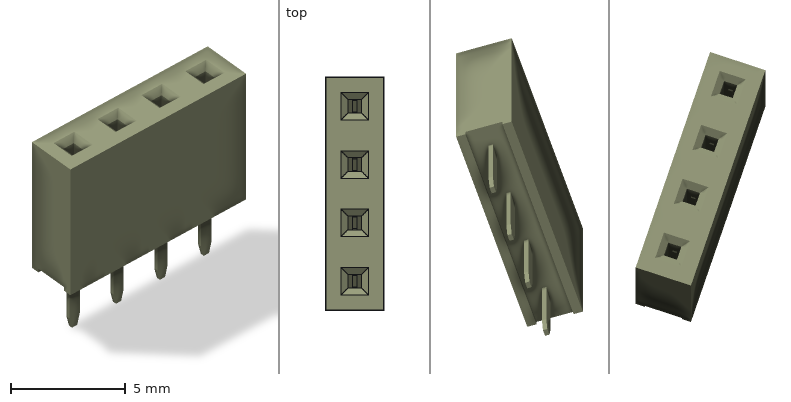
import cadquery as cq

pitch = 2.54
contact_count = 4
housing_width = pitch
housing_length = contact_count * pitch
housing_height = 7.0

channel_width = 1.7
channel_depth = 0.2

funnel_mouth = 1.2
well_width = 0.6
funnel_depth = 0.3
well_depth = 3.5

pin_thickness = 0.2
pin_width = 0.6
pin_length = 3.1
taper_length = 0.6
pin_tip_width = 0.3

fork_gap = 0.5
fork_base_height = 0.5
fork_height = 2.0
tine_width = (well_width - fork_gap) / 2

contact_positions = [(i - (contact_count - 1) / 2) * pitch for i in range(contact_count)]


def make_housing():
    """Rectangular housing, underside at Z = 0, with the channel open at both ends."""
    block = cq.Workplane("XY").box(
        housing_width, housing_length, housing_height, centered=(True, True, False)
    )
    channel = cq.Workplane("XY").box(
        channel_width, housing_length, channel_depth, centered=(True, True, False)
    )
    return block.cut(channel)


def make_socket(y):
    """Cutter for one socket: tapered funnel at the top and straight well below."""
    funnel = (
        cq.Workplane("XY", origin=(0, y, housing_height))
        .rect(funnel_mouth, funnel_mouth)
        .workplane(offset=-funnel_depth)
        .rect(well_width, well_width)
        .loft(ruled=True)
    )
    well = cq.Workplane("XY", origin=(0, y, housing_height - well_depth)).box(
        well_width, well_width, well_depth, centered=(True, True, False)
    )
    return funnel.union(well)


def make_pin(y):
    """Flat pin hanging from the channel, narrowing to a blunt tip."""
    half_width = pin_width / 2
    half_tip = pin_tip_width / 2
    taper_start = taper_length - pin_length
    return (
        cq.Workplane("YZ", origin=(-pin_thickness / 2, y, 0))
        .moveTo(-half_width, channel_depth)
        .lineTo(-half_width, taper_start)
        .lineTo(-half_tip, -pin_length)
        .lineTo(half_tip, -pin_length)
        .lineTo(half_width, taper_start)
        .lineTo(half_width, channel_depth)
        .close()
        .extrude(pin_thickness)
    )


def make_fork(y):
    """U-shaped contact end: a base on the well floor and two tines with 45 degree lead-ins."""
    half_well = well_width / 2
    half_gap = fork_gap / 2
    tine_shoulder = fork_height - tine_width
    return (
        cq.Workplane("YZ", origin=(-pin_thickness / 2, y, housing_height - well_depth))
        .moveTo(-half_well, 0)
        .lineTo(-half_well, fork_height)
        .lineTo(-half_gap, tine_shoulder)
        .lineTo(-half_gap, fork_base_height)
        .lineTo(half_gap, fork_base_height)
        .lineTo(half_gap, tine_shoulder)
        .lineTo(half_well, fork_height)
        .lineTo(half_well, 0)
        .close()
        .extrude(pin_thickness)
    )


result = make_housing()
for position in contact_positions:
    result = result.cut(make_socket(position))
    result = result.union(make_fork(position))
    result = result.union(make_pin(position))